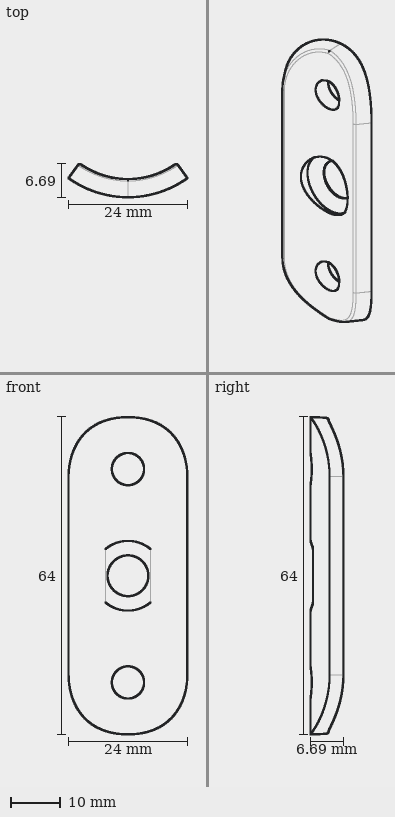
import cadquery as cq
import math

length = 64.0
width = 24.0
outer_radius = 20.5
thickness = 3.7
rim_fillet = 0.5

end_hole_diameter = 6.45
end_hole_spacing = 43.0

spotface_diameter = 14.1
spotface_depth = 0.5
throat_diameter = 8.2
throat_depth = 0.2
back_bore_diameter = 12.8

inner_radius = outer_radius - thickness
middle_radius = (inner_radius + outer_radius) / 2
half_angle = math.degrees(math.asin(width / 2 / outer_radius))
front_y = -outer_radius
spotface_y = front_y + spotface_depth
cone_start_y = spotface_y + throat_depth
cone_end_y = cone_start_y + (back_bore_diameter - throat_diameter) / 2

margin = 3.2
margin_angle = 10.0
stock_angle = half_angle + margin_angle
front_clear_y = front_y - margin
back_clear_y = -inner_radius * math.cos(math.radians(half_angle)) + margin


def half_plate():
    """The +X half: a rolled sector trimmed by a round-ended bar lying square to its side edge."""
    stock = (
        cq.Workplane("YZ")
        .center(-middle_radius, 0)
        .rect(thickness, length + 2 * margin)
        .revolve(stock_angle, (middle_radius, 0), (middle_radius, 1))
    )
    bar = (
        cq.Workplane("XZ")
        .slot2D(length, width, 90)
        .extrude(outer_radius + margin)
        .translate((-width / 2, 0, 0))
        .rotate((0, 0, 0), (0, 0, 1), half_angle)
    )
    return stock.intersect(bar)


def rolled_plate():
    """Both halves joined, with the rim of the concave skin rounded."""
    half = half_plate()
    plate = half.union(half.mirror("YZ"))
    concave_skin = plate.faces(cq.NearestToPointSelector((0, -inner_radius, 0)))
    return concave_skin.edges().fillet(rim_fillet)


def end_holes():
    """Cutter for the two plain holes."""
    return (
        cq.Workplane("XZ", origin=(0, back_clear_y, 0))
        .rarray(0.65, end_hole_spacing, 1, 2)
        .circle(end_hole_diameter / 2)
        .extrude(back_clear_y - front_clear_y)
    )


def center_hole():
    """Cutter for the stepped center hole, turned about the Y axis."""
    spotface_radius = spotface_diameter / 2
    throat_radius = throat_diameter / 2
    back_bore_radius = back_bore_diameter / 2
    profile = [
        (0, front_clear_y),
        (spotface_radius, front_clear_y),
        (spotface_radius, spotface_y),
        (throat_radius, spotface_y),
        (throat_radius, cone_start_y),
        (back_bore_radius, cone_end_y),
        (back_bore_radius, back_clear_y),
        (0, back_clear_y),
    ]
    return cq.Workplane("XY").polyline(profile).close().revolve(360, (0, 0), (0, 1))


result = rolled_plate().cut(end_holes()).cut(center_hole())